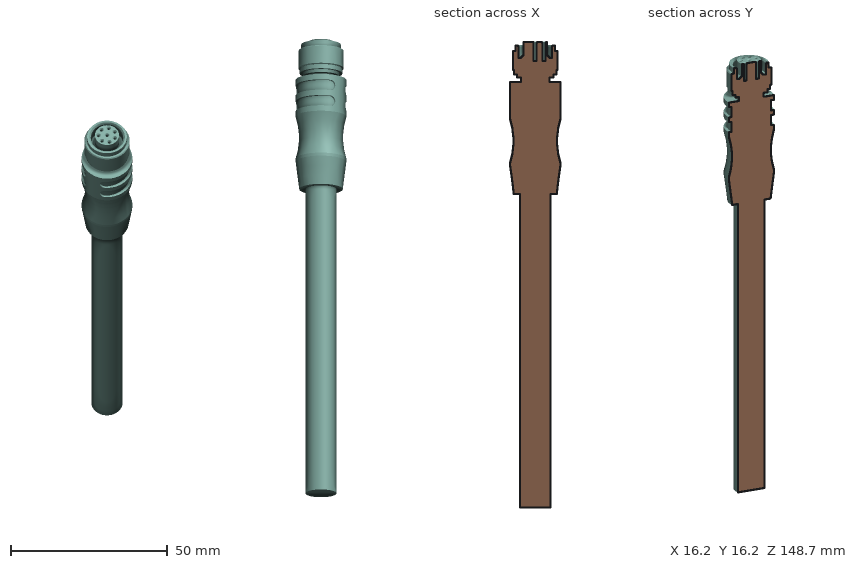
import cadquery as cq
import math

total_length = 148.7

insert_tip_radius = 3.85
insert_base_radius = 4.6
base_cone_height = 0.75
insert_protrusion = 1.0
contact_radius = 0.4
contact_mouth_radius = 0.75
contact_mouth_depth = 0.35
contact_depth = 6.0
contact_circle_radius = 2.75
ring_contact_count = 7

collar_radius = 6.35
collar_bore_radius = 5.2
bore_chamfer = 0.5
collar_length = 1.85
socket_depth = 4.0
nut_radius = 7.25
nut_length = 6.2
nut_chamfer = 0.3
upper_step_radius = 6.85
upper_step_length = 1.4
lower_step_radius = 5.95
lower_step_length = 1.0
neck_radius = 4.7
neck_length = 1.2

grip_radius = 8.1
slot_depth = 0.95
slot_height = 3.35
land_height = 1.8
slot_end_x = 2.8
slot_count = 2

waist_radius = 7.05
waist_length = 13.8
band_length = 1.0
relief_end_radius = 6.95
relief_length = 9.0
cable_radius = 5.0

collar_top = total_length - insert_protrusion
nut_top = collar_top - collar_length
nut_bottom = nut_top - nut_length
upper_step_bottom = nut_bottom - upper_step_length
lower_step_bottom = upper_step_bottom - lower_step_length
grip_top = lower_step_bottom - neck_length
grip_length = slot_count * slot_height + (slot_count + 1) * land_height
grip_bottom = grip_top - grip_length
waist_bottom = grip_bottom - waist_length
waist_middle = (grip_bottom + waist_bottom) / 2
band_bottom = waist_bottom - band_length
relief_bottom = band_bottom - relief_length
socket_floor = collar_top - socket_depth


def make_body():
    """Revolve the outer profile together with the annular socket around the insert."""
    profile = (
        cq.Workplane("XZ")
        .moveTo(0, 0)
        .lineTo(cable_radius, 0)
        .lineTo(cable_radius, relief_bottom)
        .lineTo(relief_end_radius, relief_bottom)
        .lineTo(grip_radius, band_bottom)
        .lineTo(grip_radius, waist_bottom)
        .threePointArc((waist_radius, waist_middle), (grip_radius, grip_bottom))
        .lineTo(grip_radius, grip_top)
        .lineTo(neck_radius, grip_top)
        .lineTo(neck_radius, lower_step_bottom)
        .lineTo(lower_step_radius, lower_step_bottom)
        .lineTo(lower_step_radius, upper_step_bottom)
        .lineTo(upper_step_radius, upper_step_bottom)
        .lineTo(upper_step_radius, nut_bottom)
        .lineTo(nut_radius - nut_chamfer, nut_bottom)
        .lineTo(nut_radius, nut_bottom + nut_chamfer)
        .lineTo(nut_radius, nut_top - nut_chamfer)
        .lineTo(nut_radius - nut_chamfer, nut_top)
        .lineTo(collar_radius, nut_top)
        .lineTo(collar_radius, collar_top)
        .lineTo(collar_bore_radius + bore_chamfer, collar_top)
        .lineTo(collar_bore_radius, collar_top - bore_chamfer)
        .lineTo(collar_bore_radius, socket_floor)
        .lineTo(insert_base_radius, socket_floor)
        .lineTo(insert_tip_radius, socket_floor + base_cone_height)
        .lineTo(insert_tip_radius, total_length)
        .lineTo(0, total_length)
        .close()
    )
    return profile.revolve(360, (0, 0, 0), (0, 1, 0))


def make_side_slots(side):
    """Round-ended slots around one side of the grip (side is -1 or +1 along X).

    The slot floor is the grip cylinder shifted inwards, so the slots get shallower towards their ends.
    """
    slot_outer_x = grip_radius + slot_height
    slot_length = slot_outer_x - slot_end_x
    slot_center_x = side * (slot_outer_x + slot_end_x) / 2
    slot_pitch = slot_height + land_height
    first_slot_z = grip_top - land_height - slot_height / 2
    centers = [(slot_center_x, first_slot_z - row * slot_pitch) for row in range(slot_count)]
    slots = (
        cq.Workplane("XZ")
        .pushPoints(centers)
        .slot2D(slot_length, slot_height)
        .extrude(grip_radius, both=True)
    )
    floor = (
        cq.Workplane("XY")
        .workplane(offset=grip_bottom)
        .center(-side * slot_depth, 0)
        .circle(grip_radius)
        .extrude(grip_length)
    )
    return slots.cut(floor)


def make_contact_hole(x, y):
    """Blind contact hole with a conical lead-in at the insert face."""
    profile = (
        cq.Workplane("XZ")
        .moveTo(0, total_length)
        .lineTo(contact_mouth_radius, total_length)
        .lineTo(contact_radius, total_length - contact_mouth_depth)
        .lineTo(contact_radius, total_length - contact_depth)
        .lineTo(0, total_length - contact_depth)
        .close()
    )
    return profile.revolve(360, (0, 0, 0), (0, 1, 0)).translate((x, y, 0))


def contact_positions():
    """One contact in the centre and an even ring that starts on the -Y side."""
    positions = [(0, 0)]
    for index in range(ring_contact_count):
        angle = -math.pi / 2 + index * 2 * math.pi / ring_contact_count
        positions.append((contact_circle_radius * math.cos(angle), contact_circle_radius * math.sin(angle)))
    return positions


result = make_body()
for slot_side in (-1, 1):
    result = result.cut(make_side_slots(slot_side))
for contact_x, contact_y in contact_positions():
    result = result.cut(make_contact_hole(contact_x, contact_y))